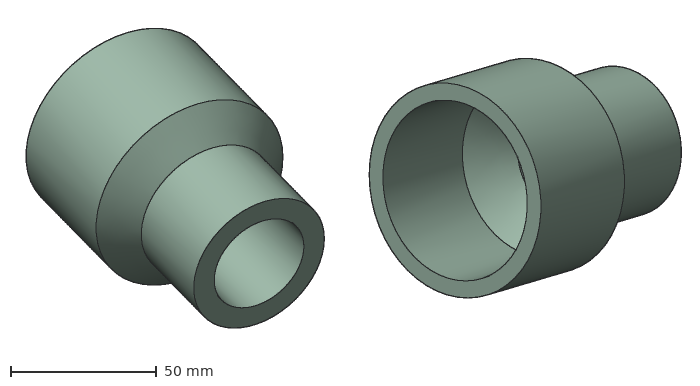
import cadquery as cq

total_length = 92.0
socket_length = 46.2
bore_taper_start = 44.0

large_outer_radius = 75.0 / 2
small_outer_radius = 52.4 / 2
large_bore_radius = 63.0 / 2
small_bore_radius = 36.0 / 2

taper_end = socket_length + large_outer_radius - small_outer_radius
bore_taper_end = bore_taper_start + large_bore_radius - small_bore_radius


def revolve_about_x(profile_points):
    """Turn a closed (x, radius) outline around the X axis."""
    profile = cq.Workplane("XY").polyline(profile_points).close()
    return profile.revolve(360, (0, 0, 0), (1, 0, 0))


reducer_section = [
    (0, large_bore_radius),
    (0, large_outer_radius),
    (socket_length, large_outer_radius),
    (taper_end, small_outer_radius),
    (total_length, small_outer_radius),
    (total_length, small_bore_radius),
    (bore_taper_end, small_bore_radius),
    (bore_taper_start, large_bore_radius),
]

result = revolve_about_x(reducer_section).translate((-total_length / 2, 0, 0))